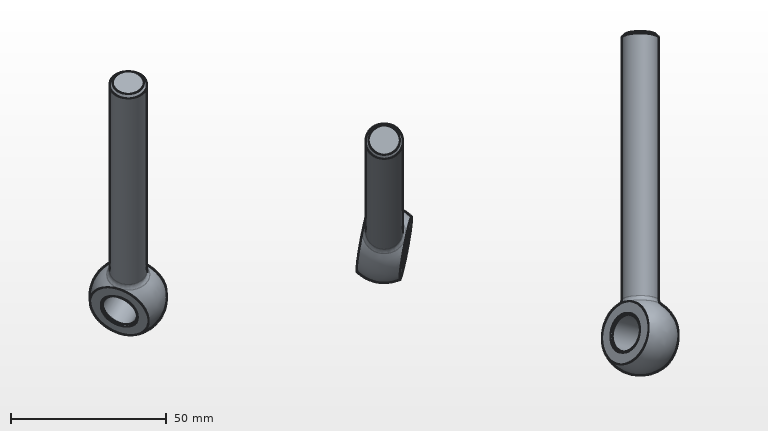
import cadquery as cq

total_length = 112.4
ball_diameter = 25.0
eye_width = 14.0
rod_diameter = 12.0
hole_diameter = rod_diameter
neck_fillet = 2.0
rod_tip_chamfer = 1.0
hole_chamfer = 0.51

ball_radius = ball_diameter / 2
rod_height = total_length - ball_radius


def make_rod():
    """Rod from the ball centre up to its chamfered tip."""
    rod = cq.Workplane("XY").circle(rod_diameter / 2).extrude(rod_height)
    return rod.faces(">Z").chamfer(rod_tip_chamfer)


def make_blank():
    """Ball and rod joined, with a fillet around the neck."""
    ball = cq.Workplane("XY").sphere(ball_radius)
    blank = ball.union(make_rod())
    neck_zone = cq.selectors.BoxSelector(
        (-rod_diameter, -rod_diameter, ball_radius / 2),
        (rod_diameter, rod_diameter, ball_diameter),
    )
    neck_edge = blank.edges("%CIRCLE").edges(neck_zone)
    return neck_edge.fillet(neck_fillet)


def make_flat_zone():
    """Slab that leaves the two flat faces of the eye."""
    return cq.Workplane("XY").box(
        ball_diameter, eye_width, 2 * total_length
    )


def make_hole():
    """Through hole along Y, widened by a chamfer at both flat faces."""
    half_width = eye_width / 2
    hole_radius = hole_diameter / 2
    mouth_radius = hole_radius + hole_chamfer
    half_profile = [
        (0, -half_width),
        (mouth_radius, -half_width),
        (hole_radius, -half_width + hole_chamfer),
        (hole_radius, half_width - hole_chamfer),
        (mouth_radius, half_width),
        (0, half_width),
    ]
    return (
        cq.Workplane("XY")
        .polyline(half_profile)
        .close()
        .revolve(360, (0, 0, 0), (0, 1, 0))
    )


result = make_blank().intersect(make_flat_zone()).cut(make_hole())